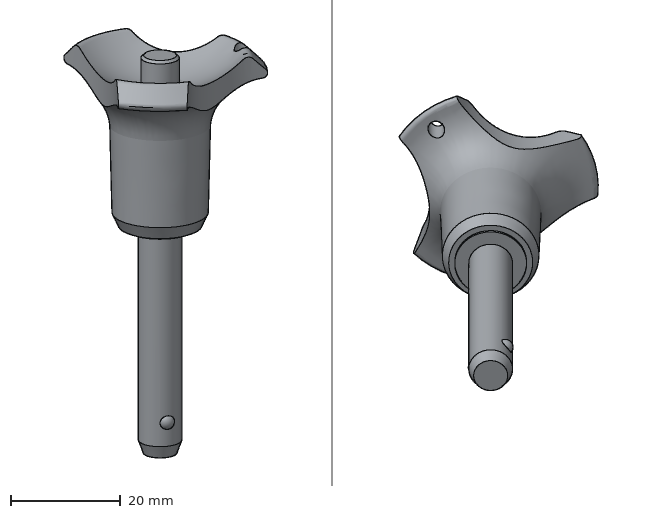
import cadquery as cq
import math


total_length = 76.5
grip_length = 43.3
pin_radius = 4.0
tip_radius = 3.1
tip_length = 2.5
ball_radius = 1.45
ball_reach = 4.82
ball_above_tip = 7.05

seat_radius = 6.55
seat_height = 0.5
bevel_radius = 7.65
body_bottom_radius = 8.8
body_bottom_z = 3.0
body_top_radius = 9.2
flange_height = 13.4
flare_radius = 9.8

top_z = total_length - grip_length
lip_outer_radius = 19.6
lip_lower_round = 1.0
lip_upper_round = 0.75
lip_thickness = 4.4
lip_bottom_z = top_z - lip_thickness
lip_side_z = lip_bottom_z + lip_lower_round
cone_sine = math.sin(math.radians(45))
lip_top_radius = lip_outer_radius - lip_upper_round * (1 - cone_sine)
lip_top_z = lip_side_z + lip_upper_round * cone_sine

rim_round = 1.2
rim_centre_z = top_z - rim_round
cone_top_z = rim_centre_z + rim_round * cone_sine
cone_top_radius = lip_top_radius - (cone_top_z - lip_top_z)
rim_centre_radius = cone_top_radius - rim_round * cone_sine

dish_radius = 23.0
dish_floor_radius = 4.5
dish_edge_radius = rim_centre_radius * dish_radius / (dish_radius + rim_round)
dish_centre_z = rim_centre_z + math.sqrt((dish_radius + rim_round) ** 2 - rim_centre_radius**2)

button_radius = 3.5
button_chamfer = 0.5

side_cut_radius = 19.45
side_cut_x = 26.02
side_cut_y = 16.35
front_cut_radius = 47.5
front_cut_depth_y = -11.2
hole_radius = 1.5
hole_y = 16.0


def dish_z(radius):
    """Height of the spherical dish at a given distance from the axis."""
    return dish_centre_z - math.sqrt(dish_radius**2 - radius**2)


def make_pin():
    """Chamfered pin with two balls standing out on the X axis."""
    tip_z = -grip_length
    profile = (
        cq.Workplane("XZ")
        .moveTo(0, tip_z)
        .lineTo(tip_radius, tip_z)
        .lineTo(pin_radius, tip_z + tip_length)
        .lineTo(pin_radius, seat_height)
        .lineTo(0, seat_height)
        .close()
    )
    pin = profile.revolve(360, (0, 0, 0), (0, 1, 0))
    for side in (-1, 1):
        ball_x = side * (ball_reach - ball_radius)
        ball = cq.Workplane("XY").sphere(ball_radius)
        pin = pin.union(ball.translate((ball_x, 0, tip_z + ball_above_tip)))
    return pin


def make_handle_blank():
    """Full round handle with its flared flange and dished top."""
    lip_bottom_radius = lip_outer_radius - lip_lower_round
    dish_edge_z = dish_z(dish_edge_radius)
    dish_floor_z = dish_z(dish_floor_radius)
    profile = (
        cq.Workplane("XZ")
        .moveTo(0, 0)
        .lineTo(seat_radius, 0)
        .lineTo(seat_radius, seat_height)
        .lineTo(bevel_radius, seat_height)
        .lineTo(body_bottom_radius, body_bottom_z)
        .lineTo(body_top_radius, top_z - flange_height)
        .radiusArc((lip_bottom_radius, lip_bottom_z), flare_radius)
        .radiusArc((lip_outer_radius, lip_side_z), -lip_lower_round)
        .radiusArc((lip_top_radius, lip_top_z), -lip_upper_round)
        .lineTo(cone_top_radius, cone_top_z)
        .radiusArc((dish_edge_radius, dish_edge_z), -rim_round)
        .radiusArc((dish_floor_radius, dish_floor_z), dish_radius)
        .lineTo(0, dish_floor_z)
        .close()
    )
    return profile.revolve(360, (0, 0, 0), (0, 1, 0))


def cut_fingers(handle):
    """Scallop the flange into three lobes: two alike side cuts and a shallower one at -Y."""
    front_cut_y = front_cut_depth_y - front_cut_radius
    cuts = (
        (-side_cut_x, side_cut_y, side_cut_radius),
        (side_cut_x, side_cut_y, side_cut_radius),
        (0, front_cut_y, front_cut_radius),
    )
    for x, y, radius in cuts:
        handle = handle.cut(cq.Workplane("XY").center(x, y).circle(radius).extrude(total_length))
    return handle


def cut_lanyard_hole(handle):
    """Drill a vertical hole through the +Y lobe."""
    hole = cq.Workplane("XY").center(0, hole_y).circle(hole_radius).extrude(total_length)
    return handle.cut(hole)


def make_button():
    """Button that runs down inside the handle and ends level with the rim."""
    button = cq.Workplane("XY").circle(button_radius).extrude(top_z)
    return button.faces(">Z").chamfer(button_chamfer)


handle = cut_lanyard_hole(cut_fingers(make_handle_blank()))
result = handle.union(make_button()).union(make_pin())